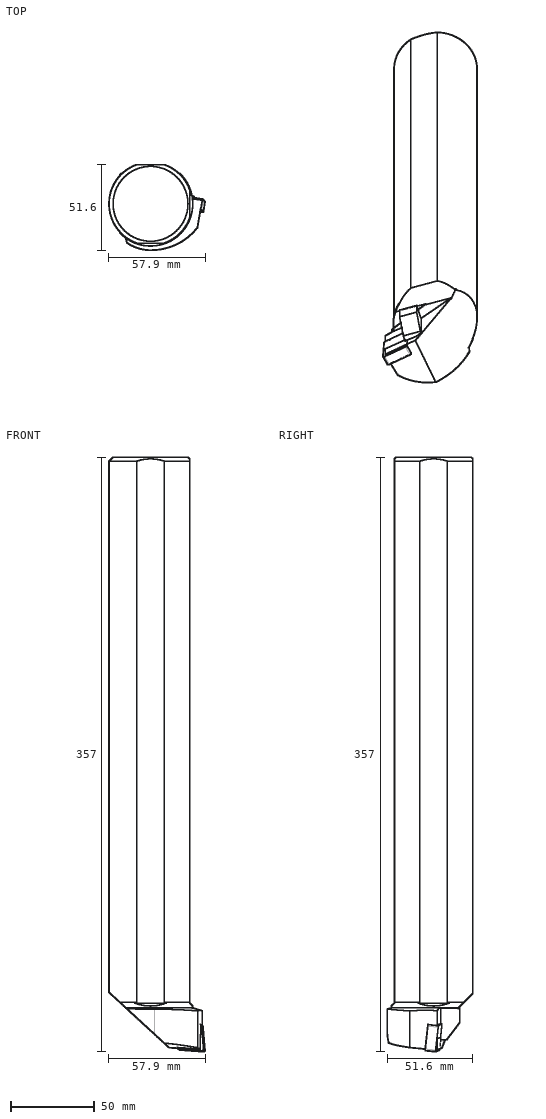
import cadquery as cq
import math

length = 357.0
shank_radius = 25.0
flat_offset = 23.5
top_chamfer = 2.5
flat_end_z = 29.3
neck_radius = 25.5
neck_top_z = 29.5
flat_runout = neck_radius - flat_offset
neck_end_z = 26.5
oversize = 71.5

nose_arc_drop = 3.0
head_low = (2.0, -28.0)
head_side = (20.7, -21.5)
head_facet_start = (28.2, -14.3)
head_tip = (31.0, 2.0)
head_back_y = 15.7
ledge_outer_radius = 33.5
ledge_outer_z = 24.0

relief_top_z = 35.7
relief_slope = 0.92

pocket_face = [(-13.2, 14.3), (10.5, 5.5), head_tip]
pocket_ceiling_y = 14.5
pocket_ceiling_z = 26.0
rib_bottom_z = 7.0
rib_bevel_z = 17.5
rib_bottom_y = 8.0
rib_profile = [
    (0, pocket_ceiling_z),
    (head_back_y, pocket_ceiling_z),
    (head_back_y, rib_bevel_z),
    (rib_bottom_y, rib_bottom_z),
    (0, rib_bottom_z),
]
rib_start_x = 7.0
rib_end_x = 18.0

clearance_z = 1.0
clearance_slope_x = 0.09
clearance_slope_y = 0.08

insert_edge = 16.0
insert_thickness = 6.5
insert_angle = 80.0
insert_nose_radius = 1.0
lead_angle = 5.0
insert_corner = (33.0, 1.0, -0.1)
insert_tilt = (0.15, 1.0, -0.1)


def half_space_box(origin, normal):
    """Large block on the side of a plane that the normal points to."""
    plane = cq.Plane(origin=origin, normal=normal)
    return cq.Workplane(plane).rect(4 * oversize, 4 * oversize).extrude(2 * oversize)


def make_shank():
    blank = cq.Workplane("XY").workplane(offset=neck_end_z).circle(shank_radius).extrude(length - neck_end_z)
    shank = blank.faces(">Z").chamfer(top_chamfer)
    neck_height = neck_top_z - neck_end_z
    neck = cq.Workplane("XY").workplane(offset=neck_end_z).circle(neck_radius).extrude(neck_height)
    shank = shank.union(neck)
    flat_profile = [
        (flat_offset, flat_end_z),
        (flat_offset, length),
        (oversize, length),
        (oversize, flat_end_z - flat_runout),
        (neck_radius, flat_end_z - flat_runout),
    ]
    flat_cut = cq.Workplane("XZ").polyline(flat_profile).close().extrude(neck_radius, both=True)
    for angle in (-90, 0, 90):
        shank = shank.cut(flat_cut.rotate((0, 0, 0), (0, 0, 1), angle))
    return shank


def make_head():
    nose_radius = -head_low[1] - nose_arc_drop
    nose_start = (-nose_radius, -nose_arc_drop)
    nose_mid = (-nose_radius * math.sin(math.pi / 4), -nose_arc_drop - nose_radius * math.cos(math.pi / 4))
    outline = (
        cq.Workplane("XY")
        .moveTo(*nose_start)
        .threePointArc(nose_mid, head_low)
        .threePointArc(head_side, head_facet_start)
        .lineTo(*head_tip)
        .lineTo(0, head_back_y)
        .lineTo(-nose_radius, head_back_y)
        .close()
        .extrude(neck_end_z)
    )
    ledge_profile = [
        (0, 0),
        (ledge_outer_radius, 0),
        (ledge_outer_radius, ledge_outer_z),
        (neck_radius, neck_end_z),
        (0, neck_end_z),
    ]
    envelope = cq.Workplane("XZ").polyline(ledge_profile).close().revolve(360, (0, 0, 0), (0, 1, 0))
    return outline.intersect(envelope)


def make_chip_pocket():
    (start_x, start_y), _, (tip_x, tip_y) = pocket_face
    plan = [(start_x - oversize, start_y)] + pocket_face
    plan += [(tip_x + oversize, tip_y), (tip_x + oversize, oversize), (start_x - oversize, oversize)]
    pocket = cq.Workplane("XY").polyline(plan).close().extrude(oversize)
    climb = oversize - pocket_ceiling_y
    ceiling_profile = [
        (-oversize, 0),
        (oversize, 0),
        (oversize, pocket_ceiling_z + climb),
        (pocket_ceiling_y, pocket_ceiling_z),
        (-oversize, pocket_ceiling_z),
    ]
    below_ceiling = cq.Workplane("YZ").polyline(ceiling_profile).close().extrude(2 * oversize, both=True)
    return pocket.intersect(below_ceiling)


def make_rib():
    rib = cq.Workplane("YZ").polyline(rib_profile).close().extrude(rib_end_x - rib_start_x)
    return rib.translate((rib_start_x, 0, 0))


def make_insert():
    lead = math.radians(lead_angle)
    rake = cq.Vector(*insert_tilt).normalized()
    edge = cq.Vector(-math.cos(lead), 0, math.sin(lead))
    edge = edge - rake * edge.dot(rake)
    plane = cq.Plane(origin=insert_corner, xDir=edge, normal=rake)
    skew = math.radians(insert_angle)
    side = (insert_edge * math.cos(skew), insert_edge * math.sin(skew))
    rhombus = [(0, 0), (insert_edge, 0), (insert_edge + side[0], side[1]), side]
    blank = cq.Workplane(plane).polyline(rhombus).close().extrude(-insert_thickness)
    return blank.edges(cq.selectors.ParallelDirSelector(rake)).fillet(insert_nose_radius)


def make_holder(insert):
    holder = make_shank().union(make_head())
    holder = holder.cut(make_chip_pocket()).union(make_rib())
    holder = holder.cut(half_space_box((-shank_radius, 0, relief_top_z), (-relief_slope, 0, -1)))
    end_normal = (-clearance_slope_x, -clearance_slope_y, -1)
    holder = holder.cut(half_space_box((head_tip[0], 0, clearance_z), end_normal))
    return holder.cut(insert)


cutting_insert = make_insert()
holder = make_holder(cutting_insert)

result = cq.Compound.makeCompound([holder.val(), cutting_insert.val()])